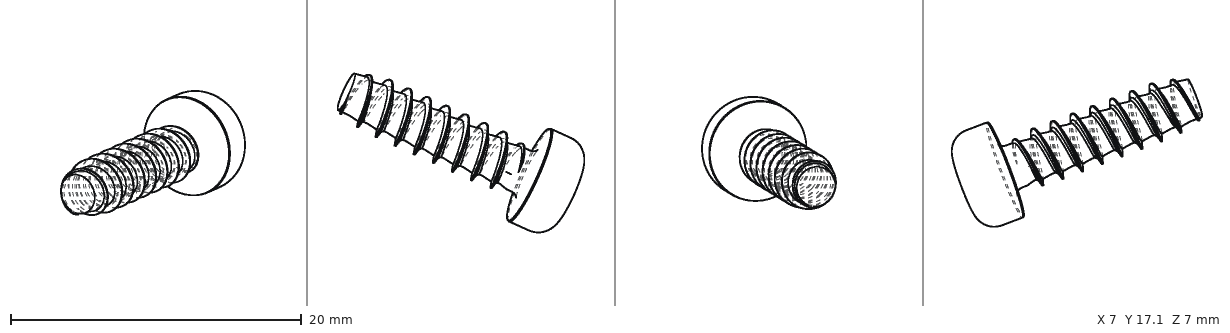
import cadquery as cq
import math


overall_length = 17.09
head_height = 3.11
head_radius = 3.5
head_top_fillet = 1.5
head_rim_chamfer_height = 0.1
head_rim_chamfer_width = 0.03

neck_radius = 1.55
neck_fillet = 0.62
neck_length = 0.99
neck_taper_length = 0.6
core_radius = 1.4
tip_z = overall_length - head_height

tip_radius = 1.38
tip_taper_width = 0.17
tip_taper_length = 0.8

dimple_radius = 1.32
dimple_depth = 0.09

origin = cq.Vector(0, 0, 0)
z_axis_point = cq.Vector(0, 0, 1)

pitch = 1.46
thread_radius = 2.0
crest_half_width = 0.043
flank_angle = 15.0
recess_radius = 1.57
tooth_foot_radius = 1.37
ramp_top_radius = 1.54
ramp_end_offset = 0.89
ramp_foot_radius = 1.35

runout_per_turn = 0.35
lead_in_turns = 1.0
full_turns = 6.5
runout_turns = 1.5
thread_start_z = 0.86
thread_start_angle = -90.0


def make_body():
    """Head, neck and plain core as one revolved profile."""
    head_top_z = -head_height
    fillet_mid = math.sqrt(0.5)
    top_center_r = head_radius - head_top_fillet
    top_center_z = head_top_z + head_top_fillet
    neck_center_r = neck_radius + neck_fillet
    profile = (
        cq.Workplane("XZ")
        .moveTo(0, head_top_z)
        .lineTo(top_center_r, head_top_z)
        .threePointArc(
            (top_center_r + head_top_fillet * fillet_mid, top_center_z - head_top_fillet * fillet_mid),
            (head_radius, top_center_z),
        )
        .lineTo(head_radius, -head_rim_chamfer_height)
        .lineTo(head_radius - head_rim_chamfer_width, 0)
        .lineTo(neck_center_r, 0)
        .threePointArc(
            (neck_center_r - neck_fillet * fillet_mid, neck_fillet - neck_fillet * fillet_mid),
            (neck_radius, neck_fillet),
        )
        .lineTo(neck_radius, neck_length)
        .lineTo(core_radius, neck_length + neck_taper_length)
        .lineTo(core_radius, tip_z)
        .lineTo(0, tip_z)
        .close()
    )
    return profile.revolve(360, (0, 0, 0), (0, 1, 0))


def revolved_polygon(corners):
    """Revolve a polygon of (radius, z) corners about the screw axis."""
    return cq.Workplane("XZ").polyline(corners).close().revolve(360, (0, 0, 0), (0, 1, 0))


def make_dimple():
    """Shallow cone sunk into the tip."""
    return revolved_polygon([(0, tip_z), (dimple_radius, tip_z), (0, tip_z - dimple_depth)])


def make_tip_relief():
    """Material outside the taper that the core has at its tip."""
    outer_radius = tip_radius + tip_taper_width
    return revolved_polygon(
        [(tip_radius, tip_z), (outer_radius, tip_z), (outer_radius, tip_z - tip_taper_length)]
    )


def flat_face(corners):
    return cq.Face.makeFromWires(cq.Wire.makePolygon(corners, close=True))


def helix_edge(radius, z, turns, radius_change):
    """Helix from (radius, 0, z) whose radius changes evenly along its length."""
    height = turns * pitch
    base = cq.Vector(0, 0, z)
    if radius_change == 0:
        return cq.Wire.makeHelix(pitch, height, radius, base).Edges()[0]
    slant_height = math.hypot(height, radius_change)
    cone_angle = math.degrees(math.atan2(radius_change, height))
    helix = cq.Wire.makeHelix(slant_height / turns, slant_height, radius, base, angle=cone_angle)
    return helix.Edges()[0]


def helical_solid(profile, start_turn, turns, radius_change=0.0):
    """Carry a closed (radius, axial offset) profile along the thread helix, in half-turn stretches."""
    start_z = thread_start_z + start_turn * pitch
    stretches = round(2 * turns)
    faces = []
    for stretch in range(stretches):
        grown = radius_change * stretch / stretches
        z = start_z + stretch * pitch / 2
        rails = [
            helix_edge(radius + grown, z + offset, 0.5, radius_change / stretches).rotate(
                origin, z_axis_point, thread_start_angle + 360.0 * start_turn + 180.0 * stretch
            )
            for radius, offset in profile
        ]
        for rail, next_rail in zip(rails, rails[1:] + rails[:1]):
            faces.append(cq.Face.makeRuledSurface(rail, next_rail))
        if stretch == 0:
            faces.append(flat_face([rail.startPoint() for rail in rails]))
    faces.append(flat_face([rail.endPoint() for rail in rails]))
    return cq.Solid.makeSolid(cq.Shell.makeShell(faces)).fix()


def tooth_profile(sink):
    """Tooth section with its crest lowered by sink."""
    slope = math.tan(math.radians(flank_angle))
    recess_offset = crest_half_width + (thread_radius - recess_radius) * slope
    tip_foot_offset = crest_half_width + (thread_radius - tooth_foot_radius) * slope
    head_foot_offset = recess_offset + recess_radius - tooth_foot_radius
    section = [
        (thread_radius, -crest_half_width),
        (thread_radius, crest_half_width),
        (tooth_foot_radius, tip_foot_offset),
        (tooth_foot_radius, -head_foot_offset),
        (recess_radius, -recess_offset),
    ]
    return [(radius - sink, offset) for radius, offset in section]


def make_core_ramp():
    """Swelling of the core on the tip side of each turn of the tooth."""
    slope = (ramp_top_radius - core_radius) / ramp_end_offset
    foot_offset = (ramp_top_radius - ramp_foot_radius) / slope
    section = [
        (ramp_foot_radius, 0),
        (ramp_top_radius, 0),
        (ramp_foot_radius, foot_offset),
    ]
    return helical_solid(section, 0, lead_in_turns + full_turns + runout_turns)


def make_tooth_pieces():
    """Rising lead-in, full-height thread and sinking run-out of the tooth."""
    lead_in_rise = runout_per_turn * lead_in_turns
    runout_drop = runout_per_turn * runout_turns
    return [
        helical_solid(tooth_profile(lead_in_rise), 0, lead_in_turns, lead_in_rise),
        helical_solid(tooth_profile(0), lead_in_turns, full_turns),
        helical_solid(tooth_profile(0), lead_in_turns + full_turns, runout_turns, -runout_drop),
    ]


def make_screw():
    """Body, swollen core and tooth, with the helical parts kept between neck and tip."""
    threaded_zone = (
        cq.Workplane("XY").workplane(offset=neck_length).circle(head_radius).extrude(tip_z - neck_length)
    )
    screw = make_body().union(threaded_zone.intersect(cq.Workplane(make_core_ramp())))
    screw = screw.cut(make_tip_relief())
    for piece in make_tooth_pieces():
        screw = screw.union(threaded_zone.intersect(cq.Workplane(piece)))
    return screw.cut(make_dimple())


result = make_screw().rotate((0, 0, 0), (1, 0, 0), 90)